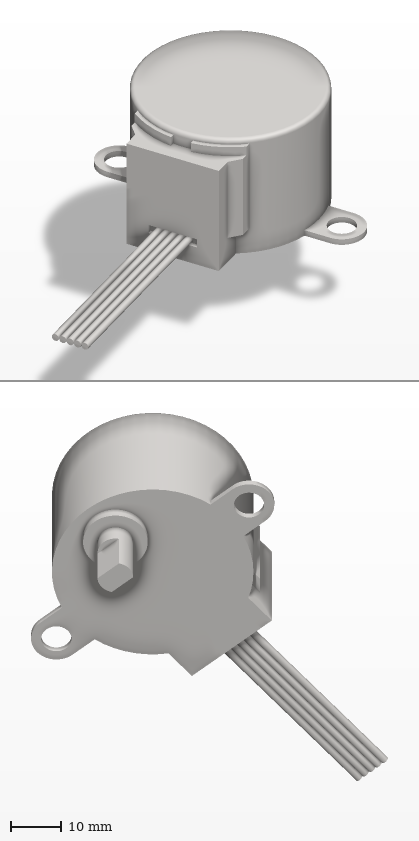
import cadquery as cq

body_radius = 20.0
body_height = 27.05
top_fillet = 1.0

ear_hole_spacing = 50.1
ear_width = 10.0
ear_thickness = 1.3
ear_hole_diameter = 6.0

shaft_offset = 11.4
boss_diameter = 12.8
boss_height = 2.1
shaft_diameter = 7.1
shaft_drop = 14.4
flat_length = 8.5
flat_thickness = 4.4

cover_half_width = 10.4
cover_front = 24.3
cover_height = 23.8
shoulder_half_width = 12.6
shoulder_corner = 18.15
shoulder_front = 20.6
shoulder_base = 5.8

lip_radius = 20.9
lip_top = 25.9
lip_gap = 4.45

wire_count = 5
wire_diameter = 1.6
wire_pitch = 1.7
wire_height = 5.1
overall_length = 87.3
wire_end = overall_length - body_radius
slot_width = 10.9
slot_height = 1.9
slot_depth = 1.0


def make_body():
    can = cq.Workplane("XY").circle(body_radius).extrude(body_height)
    return can.faces(">Z").edges().fillet(top_fillet)


def make_ears():
    plate = cq.Workplane("XY").slot2D(ear_hole_spacing + ear_width, ear_width).extrude(ear_thickness)
    holes = (
        cq.Workplane("XY")
        .pushPoints([(-ear_hole_spacing / 2, 0), (ear_hole_spacing / 2, 0)])
        .circle(ear_hole_diameter / 2)
        .extrude(ear_thickness)
    )
    return plate.cut(holes)


def make_shaft():
    base = cq.Workplane("XY").center(0, shaft_offset)
    boss = base.circle(boss_diameter / 2).extrude(-boss_height)
    round_part = base.circle(shaft_diameter / 2).extrude(flat_length - shaft_drop)
    flatted_part = (
        base.circle(shaft_diameter / 2)
        .extrude(-shaft_drop)
        .intersect(base.rect(shaft_diameter, flat_thickness).extrude(-shaft_drop))
    )
    return boss.union(round_part).union(flatted_part)


def make_cover():
    block = (
        cq.Workplane("XY", origin=(0, -cover_front / 2, 0))
        .rect(2 * cover_half_width, cover_front)
        .extrude(cover_height)
    )
    shoulders = (
        cq.Workplane("XY", origin=(0, 0, shoulder_base))
        .moveTo(-shoulder_half_width, 0)
        .lineTo(-shoulder_half_width, -shoulder_corner)
        .lineTo(-cover_half_width, -shoulder_front)
        .lineTo(cover_half_width, -shoulder_front)
        .lineTo(shoulder_half_width, -shoulder_corner)
        .lineTo(shoulder_half_width, 0)
        .close()
        .extrude(cover_height - shoulder_base)
    )
    return block.union(shoulders)


def make_lips():
    lip_plane = cq.Workplane("XY", origin=(0, 0, cover_height))
    lip_height = lip_top - cover_height
    disc = lip_plane.circle(lip_radius).extrude(lip_height)
    span = lip_plane.center(0, -lip_radius / 2).rect(2 * shoulder_half_width, lip_radius).extrude(lip_height)
    gap = lip_plane.center(0, -lip_radius / 2).rect(lip_gap, lip_radius).extrude(lip_height)
    return disc.intersect(span).cut(gap)


def make_slot():
    return (
        cq.Workplane("XZ", origin=(0, -cover_front, wire_height))
        .rect(slot_width, slot_height)
        .extrude(-slot_depth)
    )


def make_wires():
    wire_start = cover_front - slot_depth
    return (
        cq.Workplane("XZ", origin=(0, -wire_start, wire_height))
        .rarray(wire_pitch, 0.9, wire_count, 1)
        .circle(wire_diameter / 2)
        .extrude(wire_end - wire_start)
    )


result = (
    make_body()
    .union(make_ears())
    .union(make_shaft())
    .union(make_cover())
    .union(make_lips())
    .cut(make_slot())
    .union(make_wires())
)